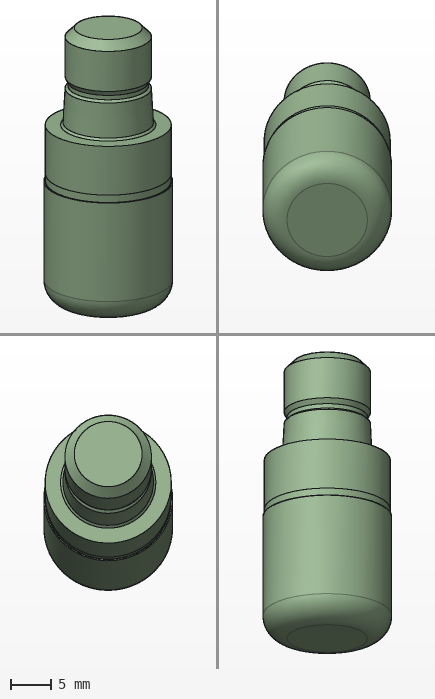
import cadquery as cq

TOTAL_HEIGHT = 36.3
END_ROUND = 3.0
STEP_HEIGHT = 16.05
SPIGOT_HEIGHT = 0.98
COLLAR_TOP = 23.5
FLARE_HEIGHT = 0.3
TAPER_TOP = 28.3
GROOVE_FLOOR_BOTTOM = 28.6
GROOVE_FLOOR_TOP = 29.2
GROOVE_TOP = 29.85
CHAMFER = 1.15

CAP_RADIUS = 16.0 / 2
COLLAR_RADIUS = 7.85
SPIGOT_RADIUS = 7.8
FLARE_RADIUS = 5.9
TAPER_BASE_RADIUS = 5.63
STUD_RADIUS = 5.37
GROOVE_RADIUS = 5.0


def make_cap():
    """Lower cap with a rounded end and a short spigot that enters the stud body."""
    cap = cq.Workplane("XY").circle(CAP_RADIUS).extrude(STEP_HEIGHT)
    cap = cap.faces("<Z").edges().fillet(END_ROUND)
    return cap.union(make_spigot())


def make_spigot():
    """Round spigot on the cap, also the shape of its matching socket."""
    return cq.Workplane("XY").workplane(offset=STEP_HEIGHT).circle(SPIGOT_RADIUS).extrude(SPIGOT_HEIGHT)


def make_stud():
    """Collar and grooved stud turned as one piece, with a socket for the spigot."""
    profile = (
        cq.Workplane("XZ")
        .moveTo(0, STEP_HEIGHT)
        .lineTo(COLLAR_RADIUS, STEP_HEIGHT)
        .lineTo(COLLAR_RADIUS, COLLAR_TOP)
        .lineTo(FLARE_RADIUS, COLLAR_TOP)
        .lineTo(TAPER_BASE_RADIUS, COLLAR_TOP + FLARE_HEIGHT)
        .lineTo(STUD_RADIUS, TAPER_TOP)
        .lineTo(GROOVE_RADIUS, GROOVE_FLOOR_BOTTOM)
        .lineTo(GROOVE_RADIUS, GROOVE_FLOOR_TOP)
        .lineTo(STUD_RADIUS, GROOVE_TOP)
        .lineTo(STUD_RADIUS, TOTAL_HEIGHT - CHAMFER)
        .lineTo(STUD_RADIUS - CHAMFER, TOTAL_HEIGHT)
        .lineTo(0, TOTAL_HEIGHT)
        .close()
    )
    stud = profile.revolve(360, (0, 0, 0), (0, 1, 0))
    return stud.cut(make_spigot())


cap = make_cap()
stud = make_stud()
result = cq.Compound.makeCompound([cap.val(), stud.val()])